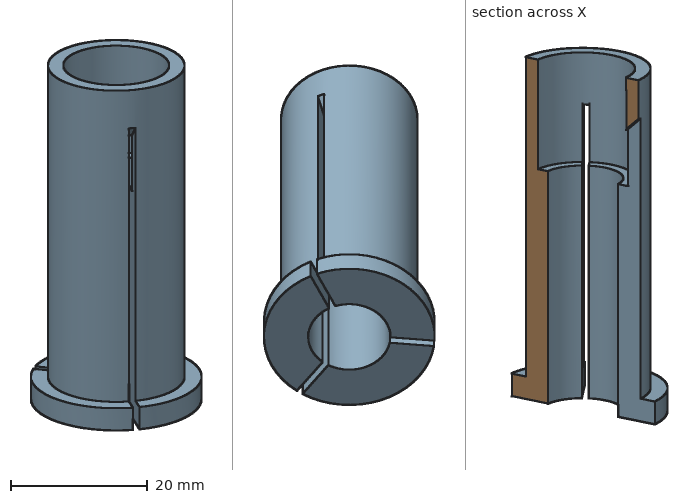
import cadquery as cq
import math

total_height = 52.5
flange_diameter = 25.0
flange_height = 3.5
tube_diameter = 20.0

bore_diameter = 15.5
lip_bore_diameter = 12.0
lip_height = 35.7

slit_count = 3
slit_width = 1.0
slit_top = 46.5
slit_top_slope = 42
first_slit_angle = 90


def cylinder(diameter, bottom, top):
    """Upright cylinder on the Z axis between two heights."""
    return cq.Workplane("XY").workplane(offset=bottom).circle(diameter / 2).extrude(top - bottom)


def slit(angle):
    """Radial slit, open at the bottom, whose sloping top rises outward through the tube wall."""
    slit_outer_radius = flange_diameter / 2
    tube_radius = tube_diameter / 2
    axis_top = slit_top - tube_radius * math.tan(math.radians(slit_top_slope))
    profile = [
        (0, 0),
        (slit_outer_radius, 0),
        (slit_outer_radius, slit_top),
        (tube_radius, slit_top),
        (0, axis_top),
    ]
    return (
        cq.Workplane("XZ")
        .polyline(profile)
        .close()
        .extrude(slit_width / 2, both=True)
        .rotate((0, 0, 0), (0, 0, 1), angle)
    )


body = cylinder(flange_diameter, 0, flange_height).union(cylinder(tube_diameter, 0, total_height))

body = body.cut(cylinder(lip_bore_diameter, 0, total_height))
body = body.cut(cylinder(bore_diameter, lip_height, total_height))

for index in range(slit_count):
    body = body.cut(slit(first_slit_angle + index * 360 / slit_count))

result = body